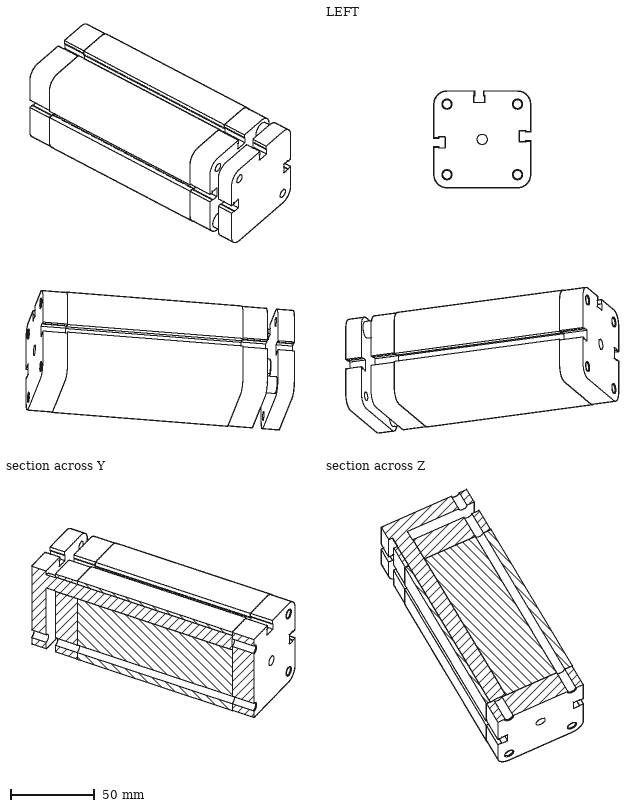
import cadquery as cq


total_length = 152.5
cap_length = 15.0
barrel_length = 106.3
yoke_thickness = 10.0

barrel_size = 58.0
cap_inset = 0.23
cap_size = barrel_size - 2 * cap_inset
hole_offset = 21.0

slot_offset = 1.8
slot_depth = 6.9
slot_sides = (0, 90, 270)
barrel_neck_width = 5.0
barrel_neck_depth = 3.2
barrel_head_width = 6.4
cap_neck_width = 6.0
cap_neck_depth = 2.9
cap_head_width = 6.9

corner_hole_diameter = 5.2
corner_hole_chamfer = 0.5
centre_hole_diameter = 6.1

guide_diameter = 10.0
rod_diameter = 12.0
rod_flat_width = 9.9
rod_end_chamfer = 0.5
flat_gap = 0.9

rear_face = -total_length / 2
barrel_start = rear_face + cap_length
barrel_end = barrel_start + barrel_length
front_cap_end = barrel_end + cap_length
yoke_end = total_length / 2
yoke_start = yoke_end - yoke_thickness

screw_points = [(-hole_offset, hole_offset), (hole_offset, -hole_offset)]
guide_points = [(hole_offset, hole_offset), (-hole_offset, -hole_offset)]
corner_points = screw_points + guide_points


def rods(points, diameter, start, end):
    """Cylinders along X through the (y, z) points, from start to end."""
    plane = cq.Workplane("YZ", origin=(start, 0, 0))
    return plane.pushPoints(points).circle(diameter / 2).extrude(end - start)


def box_along_x(width, bottom, top, start, end):
    """Block along X, centred on the slot offset in Y, from bottom to top in Z."""
    block = cq.Workplane("XY").box(end - start, width, top - bottom, centered=False)
    return block.translate((start, slot_offset - width / 2, bottom))


def slotted_block(size, neck_width, neck_depth, head_width, start, end):
    """Square section with round corners and a T-slot in three sides."""
    plane = cq.Workplane("YZ", origin=(start, 0, 0))
    block = plane.rect(size, size).extrude(end - start)
    block = block.edges("|X").fillet(size / 2 - hole_offset)

    outer_face = barrel_size / 2
    floor = outer_face - slot_depth
    neck = box_along_x(neck_width, floor, outer_face, start, end)
    head = box_along_x(head_width, floor, outer_face - neck_depth, start, end)
    slot = neck.union(head)
    for angle in slot_sides:
        block = block.cut(slot.rotate((0, 0, 0), (1, 0, 0), angle))
    return block


def cap_block(start, end):
    """Slotted block in the slightly smaller section of the caps and yoke."""
    return slotted_block(cap_size, cap_neck_width, cap_neck_depth, cap_head_width, start, end)


def make_rear_cap():
    """Cap with chamfered corner holes and a plain centre hole."""
    cap = cap_block(rear_face, barrel_start)
    cap = cap.cut(rods(corner_points, corner_hole_diameter, rear_face, barrel_start))
    hole_rims = cap.faces("<X").edges("%CIRCLE").edges(cq.selectors.RadiusNthSelector(0))
    cap = hole_rims.chamfer(corner_hole_chamfer)
    return cap.cut(rods([(0, 0)], centre_hole_diameter, rear_face, barrel_start))


def cut_long_bores(body, start, end):
    """Screw holes, guide rod bores and piston rod bore through a fixed body."""
    body = body.cut(rods(screw_points, corner_hole_diameter, start, end))
    body = body.cut(rods(guide_points, guide_diameter, start, end))
    return body.cut(rods([(0, 0)], rod_diameter, start, end))


def make_barrel():
    """Slotted profile between the two caps."""
    block = slotted_block(
        barrel_size, barrel_neck_width, barrel_neck_depth, barrel_head_width, barrel_start, barrel_end
    )
    return cut_long_bores(block, barrel_start, barrel_end)


def make_front_cap():
    """Cap that the piston rod and guide rods pass through."""
    return cut_long_bores(cap_block(barrel_end, front_cap_end), barrel_end, front_cap_end)


def make_piston_rod():
    """Rod from the rear cap to the yoke, with two wrench flats at its front end."""
    rod = rods([(0, 0)], rod_diameter, barrel_start, yoke_start)
    rod = rod.faces(">X").chamfer(rod_end_chamfer)
    flats_start = front_cap_end + flat_gap
    flats_length = yoke_start - flats_start
    flat_depth = (rod_diameter - rod_flat_width) / 2
    cut_height = (rod_flat_width + flat_depth) / 2
    plane = cq.Workplane("YZ", origin=(flats_start, 0, 0))
    cuts = plane.pushPoints([(0, cut_height), (0, -cut_height)]).rect(rod_diameter, flat_depth)
    return rod.cut(cuts.extrude(flats_length))


def make_yoke():
    """Front plate carrying the two guide rods."""
    plate = cap_block(yoke_start, yoke_end)
    plate = plate.cut(rods(screw_points, corner_hole_diameter, yoke_start, yoke_end))
    return plate.union(rods(guide_points, guide_diameter, barrel_start, yoke_start))


rear_cap = make_rear_cap()
barrel = make_barrel()
front_cap = make_front_cap()
piston_rod = make_piston_rod()
yoke = make_yoke()

bodies = [rear_cap, barrel, front_cap, piston_rod, yoke]
result = cq.Compound.makeCompound([body.solids().val() for body in bodies])